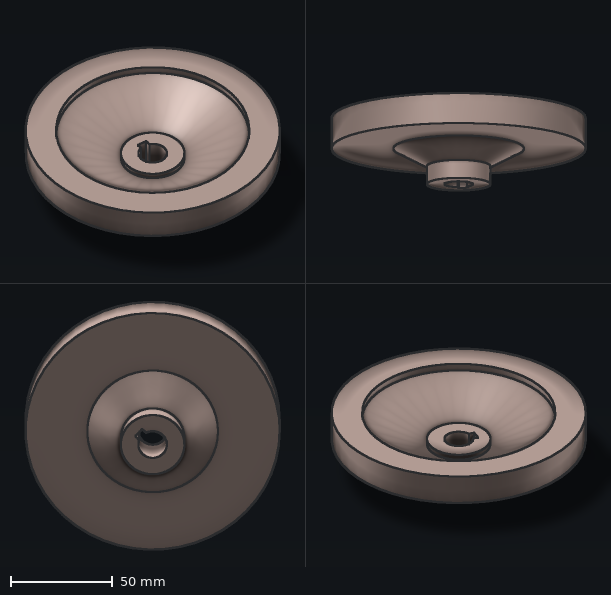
import cadquery as cq

rim_radius = 62.5
rim_inner_radius = 47.5
rim_height = 15.1
rim_lip_depth = 3.8

total_height = 33.0
hub_radius = 15.6
hub_top_depth = 15.0
hub_step = 2.8
hub_lower_length = 9.0

web_lower_radius = 32.1

bore_radius = 7.0
keyway_width = 5.0
keyway_reach = 9.2

rim_top = total_height
rim_bottom = rim_top - rim_height
hub_top = rim_top - hub_top_depth


def wheel_body():
    """Rim, conical web and hub revolved about Z as one solid profile."""
    profile = [
        (0, 0),
        (hub_radius, 0),
        (hub_radius, hub_lower_length),
        (web_lower_radius, rim_bottom),
        (rim_radius, rim_bottom),
        (rim_radius, rim_top),
        (rim_inner_radius, rim_top),
        (rim_inner_radius, rim_top - rim_lip_depth),
        (hub_radius, hub_top - hub_step),
        (hub_radius, hub_top),
        (0, hub_top),
    ]
    return cq.Workplane("XZ").polyline(profile).close().revolve(360, (0, 0, 0), (0, 1, 0))


def keyed_bore():
    """Through bore with a keyway on its -X side."""
    bore = cq.Workplane("XY").circle(bore_radius).extrude(total_height)
    keyway = (
        cq.Workplane("XY")
        .center(-keyway_reach / 2, 0)
        .rect(keyway_reach, keyway_width)
        .extrude(total_height)
    )
    return bore.union(keyway)


result = wheel_body().cut(keyed_bore())